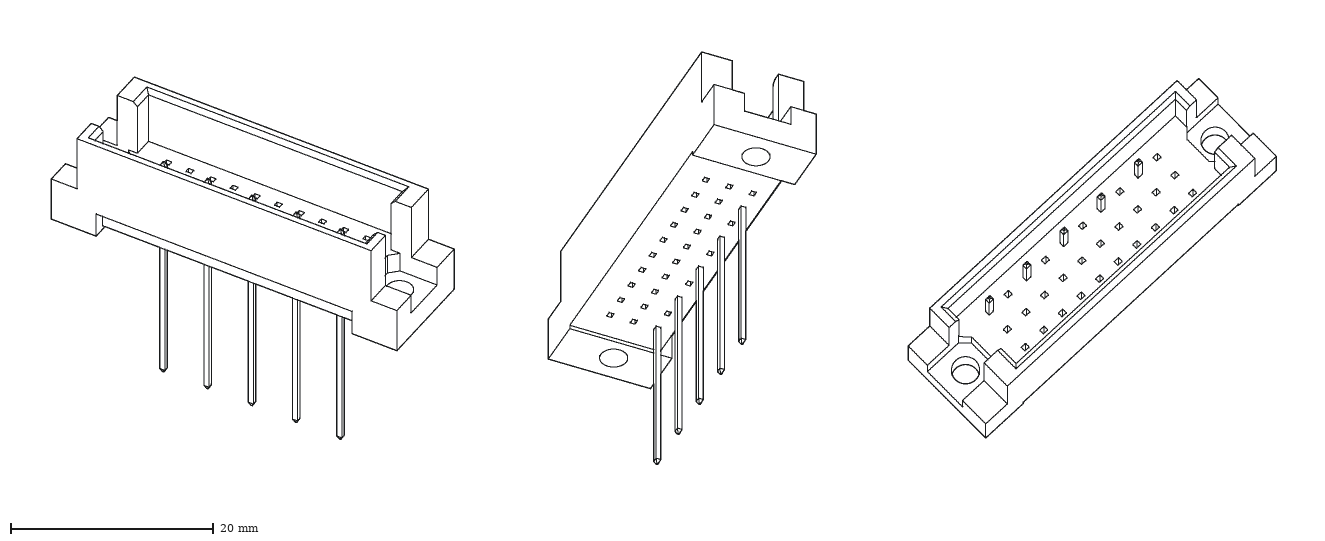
import cadquery as cq

LENGTH = 39.8
WIDTH = 11.1
HEIGHT = 11.62
OVERALL_HEIGHT = 28.6
EAR_TOP = 5.17
SHROUD_LENGTH = 33.85

FRONT_CAVITY_LENGTH = 31.12
REAR_CAVITY_LENGTH = 29.2
CAVITY_WIDTH = 8.75
LEAD_IN_WIDTH = 0.48
LEAD_IN_DEPTH = 0.48

SLOT_WIDTH = 5.0
SLOT_Y = -0.28
SLOT_FLOOR = 2.9
POCKET_LENGTH = 5.17
POCKET_CHAMFER = 0.9
MOUNT_HOLE_DIAMETER = 2.8
MOUNT_HOLE_INSET = 2.83

FOOT_LENGTH = 5.17
UNDERSIDE_RAISE = 0.45
FRONT_RECESS_TOP = 2.85
FRONT_RECESS_DEPTH = 1.27

PITCH = 2.55
COLUMNS = 10
ROWS = 3
GRID_X = 0.15

PIN_X_SIZE = 0.6
PIN_Y_SIZE = 0.5
PIN_TOP = 9.95
PIN_BOTTOM = HEIGHT - OVERALL_HEIGHT
PIN_TIP_LENGTH = 0.45
PIN_TIP_SIZE = 0.15

FRONT_Y = -WIDTH / 2
MIDDLE_LENGTH = LENGTH - 2 * FOOT_LENGTH
COLUMN_XS = [GRID_X + (column - (COLUMNS - 1) / 2) * PITCH for column in range(COLUMNS)]
ROW_YS = [(row - (ROWS - 1) / 2) * PITCH for row in range(ROWS)]
PIN_XS = COLUMN_XS[1::2]
PIN_Y = ROW_YS[0]


def box_between(x_range, y_range, z_range):
    """Axis-aligned box given by its lower and upper limit along each axis."""
    lows, highs = zip(x_range, y_range, z_range)
    sizes = [high - low for low, high in zip(lows, highs)]
    return cq.Workplane("XY").box(*sizes, centered=False).translate(lows)


def centred_box(length, y_range, z_range):
    """Box centred on X."""
    return box_between((-length / 2, length / 2), y_range, z_range)


def make_outer_block():
    """Full-length base with the shorter shroud standing on it."""
    y_range = (-WIDTH / 2, WIDTH / 2)
    base = centred_box(LENGTH, y_range, (0, EAR_TOP))
    shroud = centred_box(SHROUD_LENGTH, y_range, (EAR_TOP, HEIGHT))
    return base.union(shroud)


def cavity_part(length):
    """Cavity of one length with a sloped lead-in around its mouth."""
    straight = (
        cq.Workplane("XY", origin=(0, 0, EAR_TOP))
        .rect(length, CAVITY_WIDTH)
        .extrude(HEIGHT - EAR_TOP)
    )
    lead_in = (
        cq.Workplane("XY", origin=(0, 0, HEIGHT - LEAD_IN_DEPTH))
        .rect(length, CAVITY_WIDTH)
        .workplane(offset=LEAD_IN_DEPTH)
        .rect(length + 2 * LEAD_IN_WIDTH, CAVITY_WIDTH + 2 * LEAD_IN_WIDTH)
        .loft(ruled=True)
    )
    return straight.union(lead_in)


def make_cavity():
    """Narrow cavity over the whole width, joined by the wide one in front of the slots."""
    front_half = centred_box(LENGTH, (FRONT_Y, SLOT_Y), (EAR_TOP, HEIGHT))
    wide_front = cavity_part(FRONT_CAVITY_LENGTH).intersect(front_half)
    return cavity_part(REAR_CAVITY_LENGTH).union(wide_front)


def make_end_slot():
    """Slot, chamfered pocket and mounting hole at the -X end."""
    y_range = (SLOT_Y - SLOT_WIDTH / 2, SLOT_Y + SLOT_WIDTH / 2)
    end_x = -LENGTH / 2
    pocket = (
        box_between((end_x, end_x + POCKET_LENGTH), y_range, (SLOT_FLOOR, EAR_TOP))
        .edges("|Z and >X")
        .chamfer(POCKET_CHAMFER)
    )
    wall_gap = box_between((end_x, -REAR_CAVITY_LENGTH / 2), y_range, (EAR_TOP, HEIGHT))
    hole = (
        cq.Workplane("XY", origin=(end_x + MOUNT_HOLE_INSET, SLOT_Y, 0))
        .circle(MOUNT_HOLE_DIAMETER / 2)
        .extrude(SLOT_FLOOR)
    )
    return pocket.union(wall_gap).union(hole)


def make_underside_cut():
    """Raised underside between the ears and the taller recess along the front."""
    underside = centred_box(MIDDLE_LENGTH, (-WIDTH / 2, WIDTH / 2), (0, UNDERSIDE_RAISE))
    recess = centred_box(MIDDLE_LENGTH, (FRONT_Y, FRONT_Y + FRONT_RECESS_DEPTH), (0, FRONT_RECESS_TOP))
    return underside.union(recess)


def make_contact_holes():
    """Rectangular holes through the floor of the cavity."""
    centres = [(x, y) for x in COLUMN_XS for y in ROW_YS]
    return cq.Workplane("XY").pushPoints(centres).rect(PIN_X_SIZE, PIN_Y_SIZE).extrude(EAR_TOP)


def make_housing():
    end_slot = make_end_slot()
    return (
        make_outer_block()
        .cut(make_cavity())
        .cut(end_slot)
        .cut(end_slot.mirror("YZ"))
        .cut(make_underside_cut())
        .cut(make_contact_holes())
    )


def pin_tip(base_z, direction):
    """Tapered end that narrows from base_z upward (+1) or downward (-1)."""
    return (
        cq.Workplane("XY", origin=(0, 0, base_z))
        .rect(PIN_X_SIZE, PIN_Y_SIZE)
        .workplane(offset=direction * PIN_TIP_LENGTH)
        .rect(PIN_TIP_SIZE, PIN_TIP_SIZE)
        .loft(ruled=True)
    )


def make_pin(x):
    """Rectangular pin with both ends tapered."""
    shank_bottom = PIN_BOTTOM + PIN_TIP_LENGTH
    shank_top = PIN_TOP - PIN_TIP_LENGTH
    shank = (
        cq.Workplane("XY", origin=(0, 0, shank_bottom))
        .rect(PIN_X_SIZE, PIN_Y_SIZE)
        .extrude(shank_top - shank_bottom)
    )
    pin = shank.union(pin_tip(shank_top, 1)).union(pin_tip(shank_bottom, -1))
    return pin.translate((x, PIN_Y, 0))


housing = make_housing()
pins = [make_pin(x) for x in PIN_XS]

result = cq.Compound.makeCompound([housing.val(), *[pin.val() for pin in pins]])